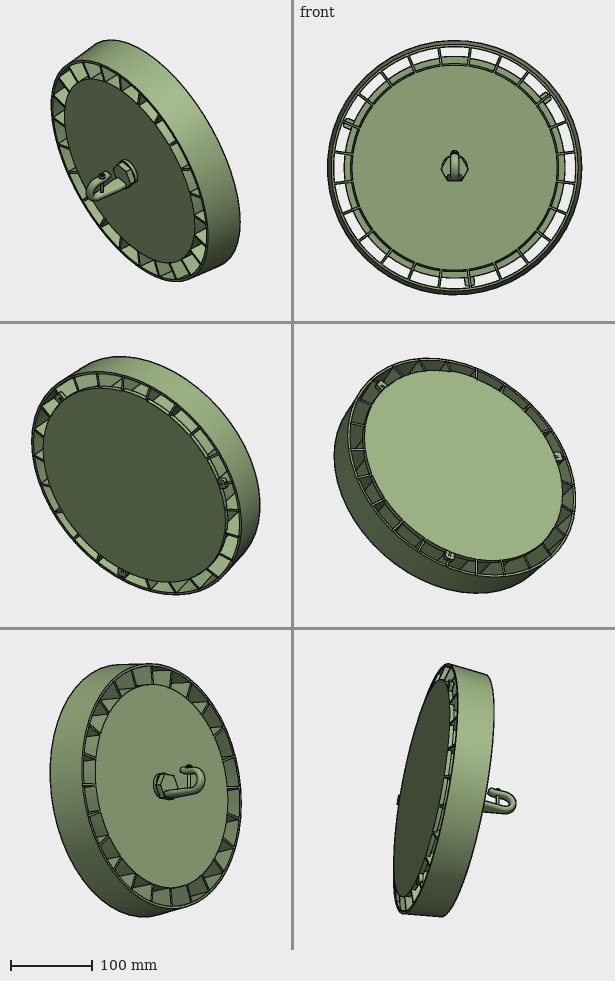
import cadquery as cq
import math


DRUM_FRONT_RADIUS = 250.3 / 2
DRUM_REAR_RADIUS = 127.2
FLANGE_RADIUS = 135.0
FLANGE_THICKNESS = 5.3
HOUSING_DEPTH = 52.0
RING_DEPTH = 47.0
RING_REAR_RADIUS = 155.5
RING_FRONT_RADIUS = 150.8
RING_WALL = 3.0
RIB_COUNT = 24
RIB_PITCH = 360 / RIB_COUNT
RIB_THICKNESS = 2.5
RIB_SINK = 1.0
TAB_RADIUS = 136.2
TAB_HALF_ANGLE = RIB_PITCH / 2
FLANGE_FRONT = HOUSING_DEPTH - FLANGE_THICKNESS

CLIP_COUNT = 3
CLIP_START_ANGLE = 2.5 * RIB_PITCH
CLIP_WIDTH = 11.8
CLIP_OUTER_RADIUS = 145.5
CLIP_CORNER = 2.8

COLLAR_DIAMETER = 31.0
COLLAR_HEIGHT = 4.7

HEX_CORNER_DIAMETER = 33.5
HEX_HEIGHT = 7.8
HEX_CENTRE_Z = -2.0
HEX_FACE_Y = -COLLAR_HEIGHT - HEX_HEIGHT
HOOK_THICKNESS = 7.5
STRAP_BASE_WIDTH = 18.3
STRAP_BASE_LENGTH = 9.0
STRAP_Z = -11.8
HOOK_WIDTH = 10.5
HOOK_END_Y = -67.0
LEG_Z = 13.5
BEND_RADIUS = (LEG_Z - STRAP_Z) / 2
BEND_Y = HOOK_END_Y + HOOK_THICKNESS / 2 + BEND_RADIUS
STRAP_BASE_END_Y = HEX_FACE_Y - STRAP_BASE_LENGTH
TIP_BEND_RADIUS = 17.0
TIP_BEND_ANGLE = 38
TIP_ROUNDING = 2.2

SCREW_Y = -43.8
SCREW_DIAMETER = 3.7
SCREW_HEAD_DIAMETER = 8.0
SCREW_HEAD_RIM = 1.2
SCREW_HEAD_HEIGHT = 4.0
RECESS_LENGTH = 4.0
RECESS_WIDTH = 1.2
RECESS_DEPTH = 2.0
LEG_TOP_Z = LEG_Z + HOOK_THICKNESS / 2
STRAP_TOP_Z = STRAP_Z + HOOK_THICKNESS / 2


def revolved(profile_points):
    """Turn a profile of (radius, y) points about the Y axis."""
    return cq.Workplane("XY").polyline(profile_points).close().revolve(360, (0, 0, 0), (0, 1, 0))


def turned(shape, angle):
    """Turn a shape about the lamp axis, counted from +X towards +Z."""
    return shape.rotate((0, 0, 0), (0, 1, 0), -angle)


def make_drum():
    return revolved([
        (0, 0),
        (DRUM_FRONT_RADIUS, 0),
        (DRUM_REAR_RADIUS, FLANGE_FRONT),
        (FLANGE_RADIUS, FLANGE_FRONT),
        (FLANGE_RADIUS, HOUSING_DEPTH),
        (0, HOUSING_DEPTH),
    ])


def make_ring():
    return revolved([
        (RING_FRONT_RADIUS - RING_WALL, 0),
        (RING_FRONT_RADIUS, 0),
        (RING_REAR_RADIUS, RING_DEPTH),
        (RING_REAR_RADIUS - RING_WALL, RING_DEPTH),
    ])


def make_rib():
    """A radial web along +X whose rear edge slopes from the flange down to the ring."""
    outline = [
        (DRUM_FRONT_RADIUS - RIB_SINK, 0),
        (RING_FRONT_RADIUS - RING_WALL + RIB_SINK, 0),
        (RING_REAR_RADIUS - RING_WALL + RIB_SINK, RING_DEPTH),
        (FLANGE_RADIUS, HOUSING_DEPTH),
        (DRUM_FRONT_RADIUS - RIB_SINK, HOUSING_DEPTH),
    ]
    return cq.Workplane("XY").polyline(outline).close().extrude(RIB_THICKNESS / 2, both=True)


def make_tab():
    """A raised sector of the flange between the two uppermost ribs."""
    half_angle = math.radians(TAB_HALF_ANGLE)
    side = TAB_RADIUS * math.sin(half_angle)
    top = TAB_RADIUS * math.cos(half_angle)
    outline = (
        cq.Workplane("XZ")
        .moveTo(-side, DRUM_FRONT_RADIUS)
        .lineTo(-side, top)
        .threePointArc((0, TAB_RADIUS), (side, top))
        .lineTo(side, DRUM_FRONT_RADIUS)
        .close()
    )
    return outline.extrude(-FLANGE_THICKNESS).translate((0, FLANGE_FRONT, 0))


def make_housing():
    housing = make_drum().union(make_ring()).union(make_tab())
    rib = make_rib()
    for index in range(RIB_COUNT):
        housing = housing.union(turned(rib, (index + 0.5) * RIB_PITCH))
    return housing


def make_clip(angle):
    """An ear seated on the flange edge, slotted to fit over its rib."""
    ear_length = CLIP_OUTER_RADIUS - DRUM_REAR_RADIUS
    ear = (
        cq.Workplane("XZ")
        .center(DRUM_REAR_RADIUS + ear_length / 2, 0)
        .rect(ear_length, CLIP_WIDTH)
        .extrude(-(HOUSING_DEPTH - RING_DEPTH))
        .translate((0, RING_DEPTH, 0))
        .edges("|Y and >X")
        .fillet(CLIP_CORNER)
    )
    flange_room = cq.Workplane("XZ").circle(FLANGE_RADIUS).extrude(-HOUSING_DEPTH)
    return turned(ear.cut(flange_room).cut(make_rib()), angle)


def make_collar():
    return cq.Workplane("XZ").circle(COLLAR_DIAMETER / 2).extrude(COLLAR_HEIGHT)


def hook_section(y, width, z):
    """The hook's cross-section at one Y: flat above and below, with half-round sides."""
    return cq.Workplane("XZ", origin=(0, y, z)).slot2D(width, HOOK_THICKNESS)


def make_hook():
    hex_base = (
        cq.Workplane("XZ", origin=(0, -COLLAR_HEIGHT, HEX_CENTRE_Z))
        .polygon(6, HEX_CORNER_DIAMETER)
        .extrude(HEX_HEIGHT)
    )
    strap_base = hook_section(HEX_FACE_Y, STRAP_BASE_WIDTH, STRAP_Z).extrude(STRAP_BASE_LENGTH)
    strap = (
        hook_section(STRAP_BASE_END_Y, STRAP_BASE_WIDTH, STRAP_Z)
        .workplane(offset=STRAP_BASE_END_Y - BEND_Y)
        .slot2D(HOOK_WIDTH, HOOK_THICKNESS)
        .loft(ruled=True)
    )
    bend = hook_section(BEND_Y, HOOK_WIDTH, STRAP_Z).revolve(
        180, (0, BEND_RADIUS, 0), (-1, BEND_RADIUS, 0)
    )
    leg = hook_section(SCREW_Y, HOOK_WIDTH, LEG_Z).extrude(SCREW_Y - BEND_Y)
    tip = (
        hook_section(SCREW_Y, HOOK_WIDTH, LEG_Z)
        .revolve(TIP_BEND_ANGLE, (0, TIP_BEND_RADIUS, 0), (1, TIP_BEND_RADIUS, 0))
        .faces(">Y")
        .edges()
        .fillet(TIP_ROUNDING)
    )
    hook = hex_base.union(strap_base).union(strap).union(bend).union(leg).union(tip)
    screw_hole = (
        cq.Workplane("XY", origin=(0, SCREW_Y, 0))
        .circle(SCREW_DIAMETER / 2)
        .extrude(LEG_TOP_Z + SCREW_HEAD_HEIGHT)
    )
    head_seat = (
        cq.Workplane("XY", origin=(0, SCREW_Y, LEG_TOP_Z))
        .circle(SCREW_HEAD_DIAMETER / 2)
        .extrude(SCREW_HEAD_HEIGHT)
    )
    return hook.cut(screw_hole).cut(head_seat)


def make_screw():
    """A shank standing on the strap, with a domed head and a cross recess."""
    head_radius = SCREW_HEAD_DIAMETER / 2
    dome_height = SCREW_HEAD_HEIGHT - SCREW_HEAD_RIM
    rim_z = LEG_TOP_Z + SCREW_HEAD_RIM
    mid_dome = (head_radius * math.sin(math.pi / 4), rim_z + dome_height * 0.6)
    screw = (
        cq.Workplane("XZ")
        .moveTo(0, STRAP_TOP_Z)
        .lineTo(SCREW_DIAMETER / 2, STRAP_TOP_Z)
        .lineTo(SCREW_DIAMETER / 2, LEG_TOP_Z)
        .lineTo(head_radius, LEG_TOP_Z)
        .lineTo(head_radius, rim_z)
        .threePointArc(mid_dome, (0, rim_z + dome_height))
        .close()
        .revolve(360, (0, 0, 0), (0, 1, 0))
    )
    recess_z = LEG_TOP_Z + SCREW_HEAD_HEIGHT - RECESS_DEPTH / 2
    for length_x, length_y in ((RECESS_LENGTH, RECESS_WIDTH), (RECESS_WIDTH, RECESS_LENGTH)):
        screw = screw.cut(cq.Workplane("XY", origin=(0, 0, recess_z)).box(length_x, length_y, RECESS_DEPTH))
    return screw.translate((0, SCREW_Y, 0))


housing = make_housing()
clips = [make_clip(CLIP_START_ANGLE + index * 360 / CLIP_COUNT) for index in range(CLIP_COUNT)]
collar = make_collar()
hook = make_hook()
screw = make_screw()

result = cq.Compound.makeCompound(
    [housing.val(), *[clip.val() for clip in clips], collar.val(), hook.val(), screw.val()]
)